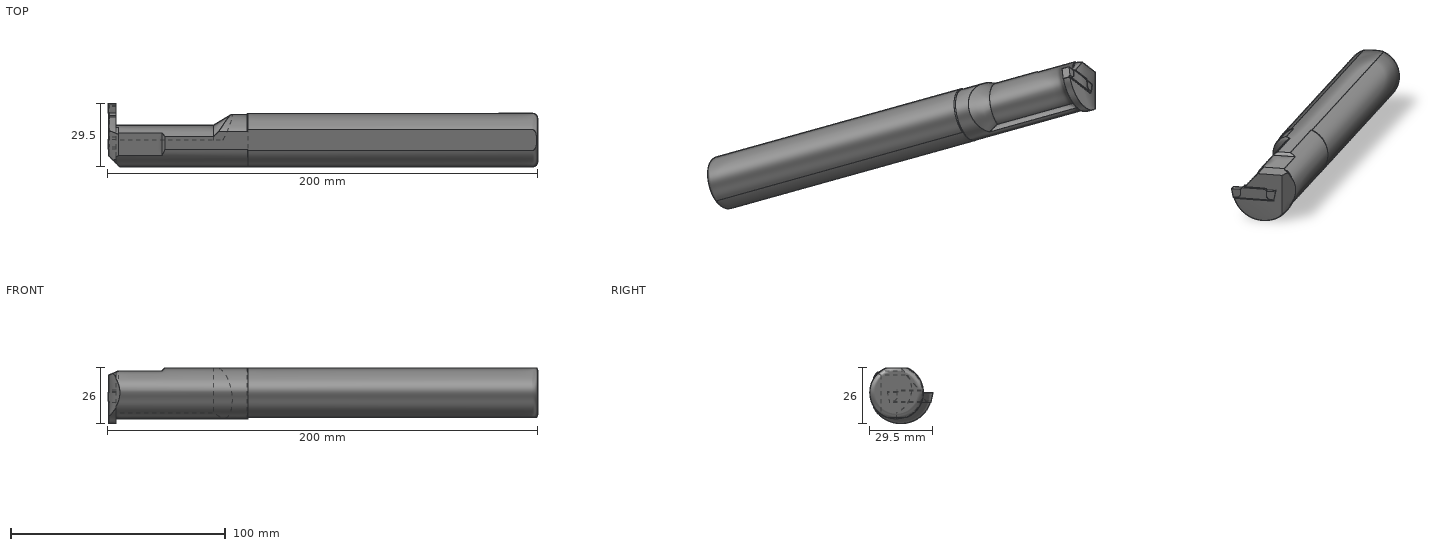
import cadquery as cq
import math

OVERALL_LENGTH = 199.99
OVERCUT = 1.0
FAR = 40.0

SHANK_RADIUS = 12.5
SHANK_START = 64.6
SHANK_FLAT = 11.5
SHANK_FRONT_CHAMFER = 0.5
SHANK_END_ROUND = 2.5

NECK_RADIUS = 12.25
NECK_Y = NECK_RADIUS - SHANK_RADIUS

HEAD_RADIUS = 14.5
HEAD_Y = HEAD_RADIUS - SHANK_RADIUS
HEAD_FRONT = 0.3
HEAD_BACK = 3.8
HEAD_CORNER_CHAMFER = 5.5

LOW_FLAT = 10.1
LOW_FLAT_END = 25.0
NOSE_HEIGHT = 8.0
NOSE_LENGTH = 4.9

RELIEF_RADIUS = 12.0
RELIEF_Y = -5.0
RELIEF_Z = 1.5
RELIEF_END = 49.1
RELIEF_RUNOUT_ANGLE = 31.0

JAW_LOW_Y = 10.7
JAW_TOP_Y = 2.7
JAW_CUT_LENGTH = 4.8

INSERT_TIP_Y = 17.0
INSERT_LENGTH = 21.2
INSERT_WIDTH = HEAD_BACK
INSERT_BACK_HEIGHT = 1.2
INSERT_BOTTOM = -4.7
TIP_LENGTH = 4.4
TIP_RAMP = 1.2
TIP_CLEARANCE = 1.0
TIP_FACE_DEPTH = 2.8
TIP_FACE_CORNER = 1.5
INSERT_EDGE_CHAMFER = 0.75
MIDDLE_FACE_RECESS = HEAD_FRONT
INSERT_MIDDLE_Y = INSERT_TIP_Y - INSERT_LENGTH / 2
INSERT_INNER_Y = INSERT_TIP_Y - INSERT_LENGTH
SEAT_GAP = 0.6


def section(points, start, length):
    """Prism along X whose outline is given as (Y, Z) points."""
    return cq.Workplane("YZ", origin=(start, 0, 0)).polyline(points).close().extrude(length)


def round_bar(start, length, radius, y):
    return cq.Workplane("YZ", origin=(start, y, 0)).circle(radius).extrude(length)


def side_cut(points):
    """Prism along the whole of Y whose outline is given as (X, Z) points."""
    return cq.Workplane("XZ").polyline(points).close().extrude(FAR, both=True)


def shank():
    bar = round_bar(SHANK_START, OVERALL_LENGTH - SHANK_START, SHANK_RADIUS, 0)
    bar = bar.faces("<X").edges().chamfer(SHANK_FRONT_CHAMFER)
    bar = bar.faces(">X").edges().fillet(SHANK_END_ROUND)
    between_flats = cq.Workplane("XY").box(2 * OVERALL_LENGTH, FAR, 2 * SHANK_FLAT)
    return bar.intersect(between_flats)


def neck_relief():
    """Everything outside a cylinder that widens into a cone at its rear end."""
    runout = (FAR - RELIEF_RADIUS) / math.tan(math.radians(RELIEF_RUNOUT_ANGLE))
    ring = (
        cq.Workplane("XY", origin=(0, RELIEF_Y, RELIEF_Z))
        .polyline([
            (HEAD_BACK, RELIEF_RADIUS),
            (RELIEF_END, RELIEF_RADIUS),
            (RELIEF_END + runout, FAR),
            (HEAD_BACK, FAR),
        ])
        .close()
        .revolve(360, (0, 0, 0), (1, 0, 0))
    )
    plus_y_side = cq.Workplane("XY").box(OVERALL_LENGTH, FAR, 2 * FAR, centered=(True, False, True))
    return ring.intersect(plus_y_side)


def neck():
    bar = round_bar(HEAD_FRONT, SHANK_START + SHANK_FRONT_CHAMFER - HEAD_FRONT, NECK_RADIUS, NECK_Y)
    below_flat = cq.Workplane("XY").box(2 * OVERALL_LENGTH, FAR, FAR)
    below_flat = below_flat.translate((0, 0, SHANK_FLAT - FAR / 2))
    return bar.intersect(below_flat).cut(neck_relief())


def top_cut():
    """Nose slope, lowered flat and the 45 degree step up to the shank flat."""
    step = SHANK_FLAT + OVERCUT - LOW_FLAT
    return side_cut([
        (0, NOSE_HEIGHT),
        (NOSE_LENGTH, LOW_FLAT),
        (LOW_FLAT_END, LOW_FLAT),
        (LOW_FLAT_END + step, LOW_FLAT + step),
        (LOW_FLAT_END + step, FAR),
        (0, FAR),
    ])


def corner_cut():
    """45 degree chamfer across the -Y corner of the cutting end."""
    return (
        cq.Workplane("XY")
        .polyline([
            (0, HEAD_CORNER_CHAMFER - SHANK_RADIUS),
            (HEAD_CORNER_CHAMFER, -SHANK_RADIUS),
            (HEAD_CORNER_CHAMFER, -FAR),
            (0, -FAR),
        ])
        .close()
        .extrude(FAR, both=True)
    )


def jaw_cut():
    """Material beyond the sloped side of the upper jaw, down to the top of the insert."""
    return section(
        [(JAW_LOW_Y, INSERT_BACK_HEIGHT), (JAW_TOP_Y, LOW_FLAT), (JAW_TOP_Y, FAR), (FAR, FAR),
         (FAR, INSERT_BACK_HEIGHT)],
        0, JAW_CUT_LENGTH,
    )


def seat_cut():
    """Slot for the insert, open on the front face and towards +Y, with a gap above the unused tip."""
    step_y = INSERT_INNER_Y + TIP_LENGTH
    return section(
        [(FAR, INSERT_BACK_HEIGHT), (step_y, INSERT_BACK_HEIGHT), (step_y, SEAT_GAP),
         (INSERT_INNER_Y, SEAT_GAP), (INSERT_INNER_Y, 0),
         (INSERT_INNER_Y + TIP_CLEARANCE, INSERT_BOTTOM), (FAR, INSERT_BOTTOM)],
        0, INSERT_WIDTH,
    )


def make_holder():
    head = round_bar(HEAD_FRONT, HEAD_BACK - HEAD_FRONT, HEAD_RADIUS, HEAD_Y)
    front = neck().union(head)
    front = front.cut(corner_cut()).cut(top_cut()).cut(jaw_cut()).cut(seat_cut())
    return front.union(shank())


def mirrored(half_outline):
    """Completes a list of (Y, Z) points with its mirror image about the insert's middle."""
    return half_outline + [(2 * INSERT_MIDDLE_Y - y, z) for y, z in reversed(half_outline)]


def make_insert():
    tip_inner_y = INSERT_TIP_Y - TIP_LENGTH
    bottom_y = INSERT_TIP_Y - TIP_CLEARANCE
    blank = section(
        mirrored([
            (bottom_y, INSERT_BOTTOM),
            (INSERT_TIP_Y, 0),
            (tip_inner_y, 0),
            (tip_inner_y - TIP_RAMP, INSERT_BACK_HEIGHT),
        ]),
        0, INSERT_WIDTH,
    )
    blank = blank.faces("<Z or >Z").edges("<X").chamfer(INSERT_EDGE_CHAMFER)
    middle_recess = section(
        mirrored([
            (bottom_y, INSERT_BOTTOM),
            (tip_inner_y + TIP_FACE_CORNER, -TIP_FACE_DEPTH - TIP_FACE_CORNER),
            (tip_inner_y, -TIP_FACE_DEPTH),
            (tip_inner_y, INSERT_BACK_HEIGHT),
        ]),
        0, MIDDLE_FACE_RECESS,
    )
    return blank.cut(middle_recess)


holder = make_holder()
insert = make_insert()

result = cq.Compound.makeCompound([holder.val(), insert.val()])